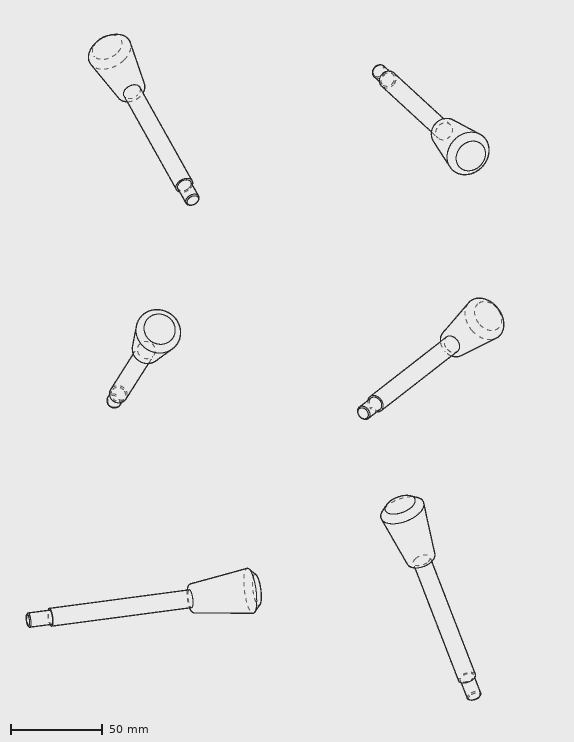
import cadquery as cq

total_length = 131.0
knob_length = 38.0
pin_length = 13.0
shoulder_x = total_length - pin_length

rim_diameter = 25.0
knob_end_diameter = 16.0
knob_chamfer = 3.8
knob_end_fillet = 1.7

rod_diameter = 10.0
pin_diameter = 8.0
pin_chamfer = 0.7


def make_knob():
    """Tapered knob with a chamfered face and a rounded rod-side edge."""
    rim_radius = rim_diameter / 2
    profile = (
        cq.Workplane("XY")
        .lineTo(0, rim_radius - knob_chamfer)
        .lineTo(knob_chamfer, rim_radius)
        .lineTo(knob_length, knob_end_diameter / 2)
        .lineTo(knob_length, 0)
        .close()
    )
    knob = profile.revolve(360, (0, 0, 0), (1, 0, 0))
    return knob.faces(">X").edges().fillet(knob_end_fillet)


def make_rod():
    """Rod running from the knob to the shoulder."""
    return (
        cq.Workplane("YZ", origin=(knob_length, 0, 0))
        .circle(rod_diameter / 2)
        .extrude(shoulder_x - knob_length)
    )


def make_pin():
    """Reduced end pin with a chamfered tip."""
    pin = cq.Workplane("YZ", origin=(shoulder_x, 0, 0)).circle(pin_diameter / 2).extrude(pin_length)
    return pin.faces(">X").edges().chamfer(pin_chamfer)


result = make_knob().union(make_rod()).union(make_pin())